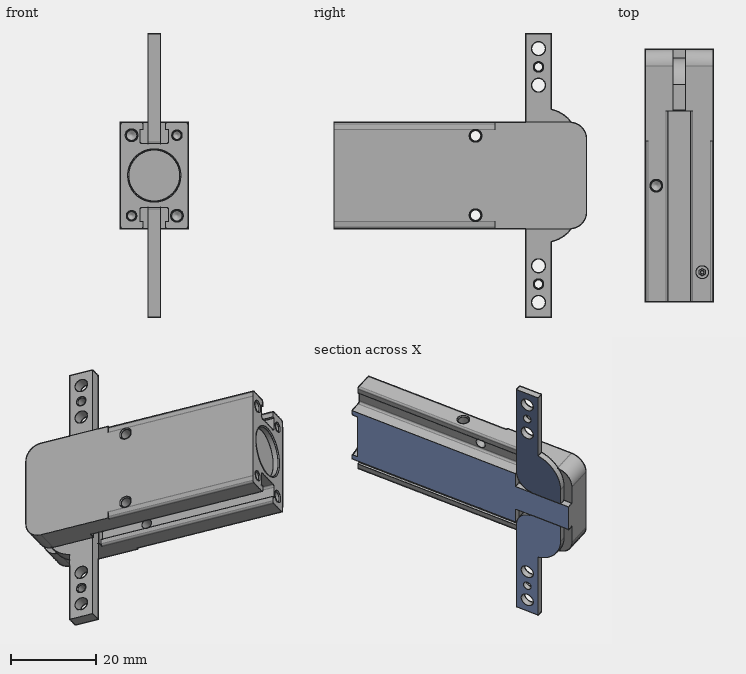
import cadquery as cq
import math

BODY_WIDTH = 16.0
BODY_LENGTH = 59.4
BODY_HEIGHT = 25.05
BACK_RADIUS = 4.0
OVERALL_HEIGHT = 66.6

RELIEF_LENGTH = 37.8
RELIEF_HEIGHT = 1.65
RELIEF_TAPER = 0.1
RELIEF_RADIUS = 0.45

RAIL_LENGTH = 44.9
RAIL_DEPTH = 5.05
RAIL_WIDTH = 6.65
RAIL_MOUTH_WIDTH = 5.3
RAIL_LIP = 1.65
RAIL_MOUTH_RADIUS = 0.45
RAIL_FLOOR_RADIUS = 0.5

RECESS_DIAMETER = 12.0
RECESS_RIM_DIAMETER = 12.5
RECESS_DEPTH = 1.5

LARGE_DRILL = 2.45
LARGE_MOUTH = 3.0
SMALL_DRILL = 2.0
SMALL_MOUTH = 2.45
DRILL_POINT_ANGLE = 118.0
FRONT_HOLE_X = 5.3
FRONT_HOLE_Z = 9.45
FRONT_HOLE_DEPTH = 6.0
PORT_X = -5.4
PORT_Y = 27.3
PORT_DEPTH = 4.0
SIDE_HOLE_Y = 33.3
SIDE_HOLE_Z = 9.3

SCREW_DIAMETER = 3.0
SCREW_LENGTH = 1.65
SCREW_X = 5.4
SCREW_Y = 7.0
SOCKET_FLATS = 1.45
SOCKET_DEPTH = 0.65
SOCKET_DRILL = 0.8
SOCKET_DRILL_DEPTH = 0.2

FINGER_THICKNESS = 3.0
ARM_WIDTH = 6.0
ARM_FRONT_Y = 45.1
PIVOT_Y = 49.5
PIVOT_Z = 7.9
KNUCKLE_RADIUS = 7.8
MOUNT_HOLE_DIAMETER = 3.2
MOUNT_HOLE_SPACING = 8.6
MOUNT_CENTRE_Z = 25.5

TOP = BODY_HEIGHT / 2
HEEL_RADIUS = PIVOT_Y - ARM_FRONT_Y
FINGER_BOTTOM = PIVOT_Z - HEEL_RADIUS
ARM_BACK_Y = ARM_FRONT_Y + ARM_WIDTH
ARM_CENTRE_Y = ARM_FRONT_Y + ARM_WIDTH / 2


def cone(point, direction, radius_start, radius_end, height):
    return cq.Workplane(
        cq.Solid.makeCone(radius_start, radius_end, height, cq.Vector(*point), cq.Vector(*direction))
    )


def cylinder(point, direction, diameter, height):
    return cq.Workplane(
        cq.Solid.makeCylinder(diameter / 2, height, cq.Vector(*point), cq.Vector(*direction))
    )


def mouth_bevel(point, direction, mouth, drill):
    """45-degree countersink at the mouth of a hole."""
    return cone(point, direction, mouth / 2, drill / 2, (mouth - drill) / 2)


def blind_hole(point, direction, mouth, drill, depth):
    """Countersunk drilled hole with a conical end below its full depth."""
    tip_height = drill / 2 / math.tan(math.radians(DRILL_POINT_ANGLE / 2))
    tip_start = cq.Vector(*point) + cq.Vector(*direction) * depth
    hole = cylinder(point, direction, drill, depth)
    hole = hole.union(cone(tip_start.toTuple(), direction, drill / 2, 0, tip_height))
    return hole.union(mouth_bevel(point, direction, mouth, drill))


def through_hole_x(y, z, width, mouth, drill):
    """Hole along X through a centred width, countersunk on both sides."""
    hole = cylinder((-width / 2, y, z), (1, 0, 0), drill, width)
    for side in (-1, 1):
        hole = hole.union(mouth_bevel((side * width / 2, y, z), (-side, 0, 0), mouth, drill))
    return hole


def on_bottom(shape):
    """Copy of a top feature on the bottom side."""
    return shape.mirror("XY")


def corner_relief():
    """Material removed along the +X top corner: a slight taper up the side, then a round."""
    side = BODY_WIDTH / 2
    taper_x = side - RELIEF_TAPER
    return (
        cq.Workplane("XZ")
        .moveTo(side, TOP - RELIEF_HEIGHT)
        .lineTo(taper_x, TOP - RELIEF_RADIUS)
        .radiusArc((taper_x - RELIEF_RADIUS, TOP), -RELIEF_RADIUS)
        .lineTo(side, TOP)
        .close()
        .extrude(-RELIEF_LENGTH)
    )


def rail_groove():
    """T-shaped groove along the top face, open at the front, with rounded mouth edges."""
    channel_height = RAIL_DEPTH - RAIL_LIP
    mouth = RAIL_MOUTH_WIDTH / 2
    channel = (
        cq.Workplane("XY")
        .box(RAIL_WIDTH, RAIL_LENGTH, channel_height, centered=(True, False, False))
        .translate((0, 0, TOP - RAIL_DEPTH))
        .edges("|Y and <Z")
        .fillet(RAIL_FLOOR_RADIUS)
    )
    neck = (
        cq.Workplane("XZ")
        .moveTo(-mouth, TOP - RAIL_LIP)
        .lineTo(-mouth, TOP - RAIL_MOUTH_RADIUS)
        .radiusArc((-mouth - RAIL_MOUTH_RADIUS, TOP), -RAIL_MOUTH_RADIUS)
        .lineTo(mouth + RAIL_MOUTH_RADIUS, TOP)
        .radiusArc((mouth, TOP - RAIL_MOUTH_RADIUS), -RAIL_MOUTH_RADIUS)
        .lineTo(mouth, TOP - RAIL_LIP)
        .close()
        .extrude(-RAIL_LENGTH)
    )
    return channel.union(neck)


def finger_slot():
    """Slot from the end of the rail groove out through the back face."""
    return (
        cq.Workplane("XY")
        .box(FINGER_THICKNESS, BODY_LENGTH - RAIL_LENGTH, TOP - FINGER_BOTTOM, centered=(True, False, False))
        .translate((0, RAIL_LENGTH, FINGER_BOTTOM))
    )


def front_recess():
    recess = cylinder((0, 0, 0), (0, 1, 0), RECESS_DIAMETER, RECESS_DEPTH)
    return recess.union(mouth_bevel((0, 0, 0), (0, 1, 0), RECESS_RIM_DIAMETER, RECESS_DIAMETER))


def make_housing():
    body = (
        cq.Workplane("XY")
        .box(BODY_WIDTH, BODY_LENGTH, BODY_HEIGHT, centered=(True, False, True))
        .edges("|X and >Y")
        .fillet(BACK_RADIUS)
    )

    relief = corner_relief()
    for top_feature in (relief, relief.mirror("YZ"), rail_groove(), finger_slot()):
        body = body.cut(top_feature).cut(on_bottom(top_feature))

    body = body.cut(front_recess())

    for x_side in (-1, 1):
        for z_side in (-1, 1):
            is_large = x_side != z_side
            mouth, drill = (LARGE_MOUTH, LARGE_DRILL) if is_large else (SMALL_MOUTH, SMALL_DRILL)
            place = (x_side * FRONT_HOLE_X, 0, z_side * FRONT_HOLE_Z)
            body = body.cut(blind_hole(place, (0, 1, 0), mouth, drill, FRONT_HOLE_DEPTH))

    for z_side in (-1, 1):
        body = body.cut(
            through_hole_x(SIDE_HOLE_Y, z_side * SIDE_HOLE_Z, BODY_WIDTH, LARGE_MOUTH, LARGE_DRILL)
        )

    body = body.cut(blind_hole((PORT_X, PORT_Y, TOP), (0, 0, -1), LARGE_MOUTH, LARGE_DRILL, PORT_DEPTH))

    return body.cut(cylinder((SCREW_X, SCREW_Y, TOP), (0, 0, -1), SCREW_DIAMETER, SCREW_LENGTH))


def make_plug_screw():
    """Grub screw flush with the top face, with a hexagon socket and a drilled point."""
    hexagon_corners = SOCKET_FLATS / math.cos(math.radians(30))
    screw = cylinder((SCREW_X, SCREW_Y, TOP), (0, 0, -1), SCREW_DIAMETER, SCREW_LENGTH)
    socket = (
        cq.Workplane("XY")
        .polygon(6, hexagon_corners)
        .extrude(-SOCKET_DEPTH)
        .rotate((0, 0, 0), (0, 0, 1), 90)
        .translate((SCREW_X, SCREW_Y, TOP))
    )
    drill_point = cone(
        (SCREW_X, SCREW_Y, TOP - SOCKET_DEPTH), (0, 0, -1), SOCKET_DRILL / 2, 0, SOCKET_DRILL_DEPTH
    )
    return screw.cut(socket).cut(drill_point)


def make_finger():
    """Upper finger: upright arm with a round knuckle behind it and a round heel below."""
    knuckle_back_y = PIVOT_Y + KNUCKLE_RADIUS
    step_run = ARM_BACK_Y - PIVOT_Y
    step_z = PIVOT_Z + math.sqrt(KNUCKLE_RADIUS**2 - step_run**2)
    knuckle_mid_angle = math.acos(step_run / KNUCKLE_RADIUS) / 2
    knuckle_mid = (
        PIVOT_Y + KNUCKLE_RADIUS * math.cos(knuckle_mid_angle),
        PIVOT_Z + KNUCKLE_RADIUS * math.sin(knuckle_mid_angle),
    )
    heel_mid = (
        PIVOT_Y - HEEL_RADIUS * math.cos(math.pi / 4),
        PIVOT_Z - HEEL_RADIUS * math.sin(math.pi / 4),
    )
    finger = (
        cq.Workplane("YZ")
        .moveTo(ARM_FRONT_Y, OVERALL_HEIGHT / 2)
        .lineTo(ARM_BACK_Y, OVERALL_HEIGHT / 2)
        .lineTo(ARM_BACK_Y, step_z)
        .threePointArc(knuckle_mid, (knuckle_back_y, PIVOT_Z))
        .lineTo(knuckle_back_y, FINGER_BOTTOM)
        .lineTo(PIVOT_Y, FINGER_BOTTOM)
        .threePointArc(heel_mid, (ARM_FRONT_Y, PIVOT_Z))
        .close()
        .extrude(FINGER_THICKNESS / 2, both=True)
    )

    for side in (-1, 1):
        hole_z = MOUNT_CENTRE_Z + side * MOUNT_HOLE_SPACING / 2
        hole_start = (-FINGER_THICKNESS / 2, ARM_CENTRE_Y, hole_z)
        finger = finger.cut(cylinder(hole_start, (1, 0, 0), MOUNT_HOLE_DIAMETER, FINGER_THICKNESS))

    return finger.cut(
        through_hole_x(ARM_CENTRE_Y, MOUNT_CENTRE_Z, FINGER_THICKNESS, SMALL_MOUTH, SMALL_DRILL)
    )


housing = make_housing()
plug_screw = make_plug_screw()
upper_finger = make_finger()
fingers = [upper_finger, on_bottom(upper_finger)]

result = cq.Compound.makeCompound(
    [housing.val(), plug_screw.val(), *[finger.val() for finger in fingers]]
)